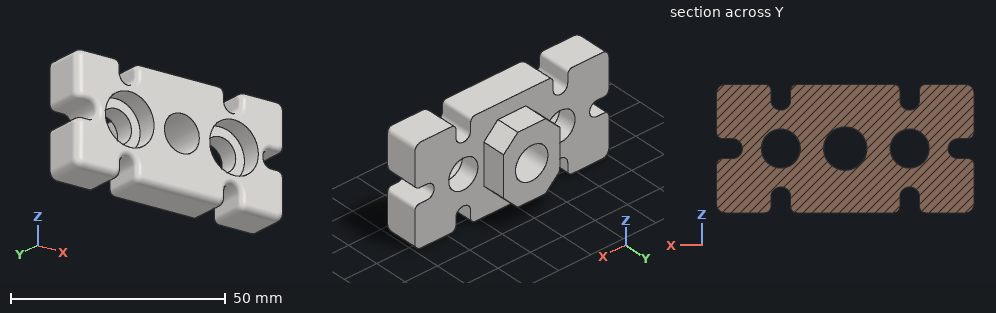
import cadquery as cq

length = 60.0
depth = 18.0
height = 30.0
plate_thickness = 11.0
boss_depth = depth - plate_thickness

outer_radius = 2.1
slot_edge_radius = 1.5

slot_width = 4.5
slot_depth = 6.0
selection_margin = 0.05

hole_offset = length / 4
bolt_hole_diameter = 9.0
counterbore_diameter = 14.0
counterbore_depth = 5.5
centre_hole_diameter = 10.0

boss_width = 17.35
boss_height = 21.2
boss_chamfer = 4.4


def make_plate():
    """Plate with its front face at Y = 0, rounded everywhere except the back rim."""
    block = cq.Workplane("XY").box(length, plate_thickness, height, centered=(True, False, True))
    return block.edges("|Y").fillet(outer_radius).faces("<Y").edges().fillet(outer_radius)


def make_slot(rim_x, rim_z, turn):
    """Round-ended slot through the plate, centred on its rim; turn 0 runs along X, 90 along Z."""
    return (
        cq.Workplane("XZ")
        .center(rim_x, rim_z)
        .slot2D(2 * slot_depth, slot_width, turn)
        .extrude(-plate_thickness)
    )


def cut_rounded_slot(plate, slot):
    """Cut one slot and round all its edges except those on the back face."""
    box = slot.val().BoundingBox()
    slot_edges = cq.selectors.BoxSelector(
        (box.xmin - selection_margin, -selection_margin, box.zmin - selection_margin),
        (box.xmax + selection_margin, plate_thickness - selection_margin, box.zmax + selection_margin),
    )
    return plate.cut(slot).edges(slot_edges).fillet(slot_edge_radius)


def make_boss():
    """Block with cut corners standing on the back face of the plate."""
    return (
        cq.Workplane("XY", origin=(0, plate_thickness, 0))
        .box(boss_width, boss_depth, boss_height, centered=(True, False, True))
        .edges("|Y")
        .chamfer(boss_chamfer)
    )


def make_hole(x, diameter, hole_depth):
    """Round cutter going back from the front face."""
    return cq.Workplane("XZ").center(x, 0).circle(diameter / 2).extrude(-hole_depth)


body = make_plate()
for side in (-1, 1):
    body = cut_rounded_slot(body, make_slot(side * length / 2, 0, 0))
    for slot_x in (-hole_offset, hole_offset):
        body = cut_rounded_slot(body, make_slot(slot_x, side * height / 2, 90))

body = body.union(make_boss())

body = body.cut(make_hole(0, centre_hole_diameter, depth))
for hole_x in (-hole_offset, hole_offset):
    body = body.cut(make_hole(hole_x, bolt_hole_diameter, plate_thickness))
    body = body.cut(make_hole(hole_x, counterbore_diameter, counterbore_depth))

result = body